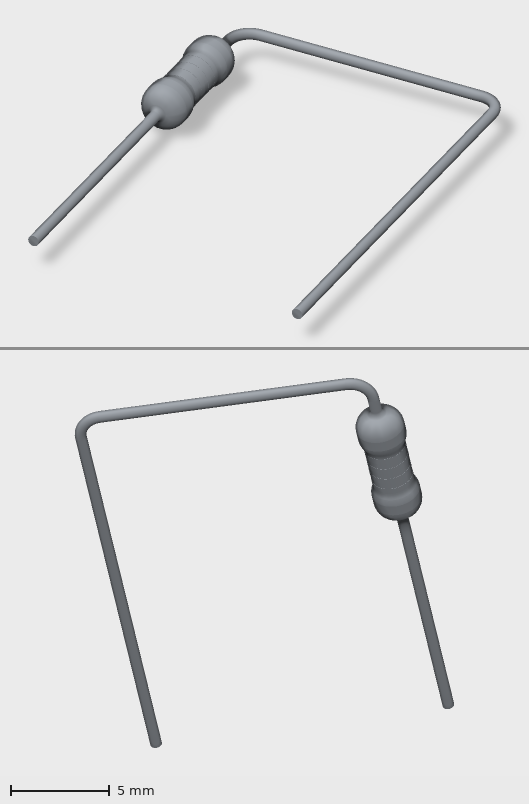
import cadquery as cq
import math

overall_length = 22.9
overall_width = 16.55
wire_radius = 0.6 / 2
bend_radius = 1.2

cap_radius = 2.5 / 2
barrel_radius = 2.13 / 2
band_radius = 2.15 / 2
body_from_bend_end = 5.95
body_half_length = 3.66
cap_inner = 1.92
cap_outer = 2.52
dome_radius = 0.9

band_count = 4
band_width = 0.35
band_pitch = 0.69

body_center_y = overall_length - body_from_bend_end
bands_half_length = ((band_count - 1) * band_pitch + band_width) / 2
leg_spacing = overall_width - cap_radius - wire_radius
crossbar_y = overall_length - wire_radius


def make_wire():
    """Round wire swept along the two legs, the two bends and the crossbar."""
    leg_end_y = crossbar_y - bend_radius
    path = (
        cq.Workplane("XY")
        .moveTo(0, 0)
        .lineTo(0, leg_end_y)
        .tangentArcPoint((bend_radius, crossbar_y), relative=False)
        .lineTo(leg_spacing - bend_radius, crossbar_y)
        .tangentArcPoint((leg_spacing, leg_end_y), relative=False)
        .lineTo(leg_spacing, 0)
    )
    return cq.Workplane("XZ").circle(wire_radius).sweep(path)


def make_half_body():
    """Half of the body, from its middle plane to the neck on the wire, towards +Y."""
    shoulder_mid = ((cap_radius + barrel_radius) / 2, (bands_half_length + cap_inner) / 2)

    dome_center = cap_radius - dome_radius
    axial_gap = body_half_length - cap_outer
    radial_gap = wire_radius - dome_center
    neck_radius = (axial_gap**2 + radial_gap**2 - dome_radius**2) / (2 * (dome_radius - radial_gap))
    neck_angle = math.atan2(axial_gap, radial_gap + neck_radius)
    dome_end = (
        dome_center + dome_radius * math.cos(neck_angle),
        cap_outer + dome_radius * math.sin(neck_angle),
    )

    return (
        cq.Workplane("XY", origin=(0, body_center_y, 0))
        .moveTo(0, 0)
        .lineTo(barrel_radius, 0)
        .lineTo(barrel_radius, bands_half_length)
        .tangentArcPoint(shoulder_mid, relative=False)
        .tangentArcPoint((cap_radius, cap_inner), relative=False)
        .lineTo(cap_radius, cap_outer)
        .tangentArcPoint(dome_end, relative=False)
        .tangentArcPoint((wire_radius, body_half_length), relative=False)
        .lineTo(0, body_half_length)
        .close()
        .revolve(360, (0, 0, 0), (0, 1, 0))
    )


def make_band(center_y):
    """Raised colour band around the barrel, centred at the given Y."""
    return (
        cq.Workplane("XZ", origin=(0, center_y + band_width / 2, 0))
        .circle(band_radius)
        .extrude(band_width)
    )


half_body = make_half_body()
body = half_body.union(half_body.mirror("XZ", (0, body_center_y, 0))).clean()
result = make_wire().union(body)
for index in range(band_count):
    offset = (index - (band_count - 1) / 2) * band_pitch
    result = result.union(make_band(body_center_y + offset))